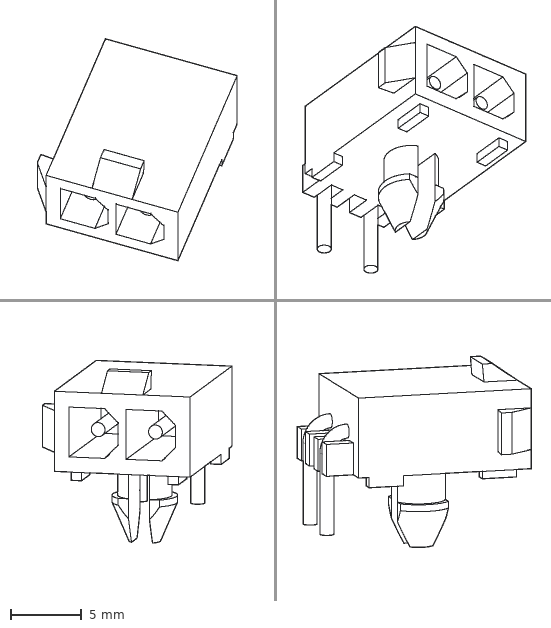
import cadquery as cq
import math


body_width = 9.85
overall_depth = 14.71
body_depth = 12.72
body_height = 5.75
mid_height = body_height / 2

way_pitch = 4.16
way_centres = (-way_pitch / 2, way_pitch / 2)
pocket_size = 3.57
pocket_chamfer = 0.99
pocket_depth = 9.71

lock_width = 3.0
lock_height = 1.3
lock_root_depth = 2.47
lock_crest_rear = 2.59
lock_crest_front = 1.82

guard_depth = overall_depth - body_depth
guard_height = 2.3
guard_span = 3.07
guard_gap = 1.01

pin_diameter = 1.0
pin_radius = pin_diameter / 2
pin_tip_depth = 1.41
pin_drop = 4.45
pin_bend_radius = guard_depth - pin_radius

foot_width = 0.76
foot_length = 2.53
foot_height = 0.74
foot_inset = 1.03
front_foot_start = 0.78
rear_foot_start = body_depth - front_foot_start - foot_length

peg_centre_y = 6.85
peg_length = 5.96
peg_stem_radius = 1.93
peg_stem_length = 2.68
peg_barb_radius = 2.32
peg_barb_end = 3.16
peg_tip_radius = 1.13
peg_slot = 1.52
peg_thickness = 2 * math.sqrt(peg_stem_radius**2 - (peg_slot / 2) ** 2)


def block(x_start, y_start, z_start, width, depth, height):
    """Box placed by its lowest corner."""
    return cq.Workplane("XY").box(width, depth, height, centered=False).translate((x_start, y_start, z_start))


def housing():
    """Plain rectangular housing, centred on X."""
    return block(-body_width / 2, 0, 0, body_width, body_depth, body_height)


def mating_pocket(way_x):
    """Square pocket with its two +X corners cut off."""
    return (
        cq.Workplane("XY")
        .box(pocket_size, pocket_depth, pocket_size)
        .edges(">X and |Y")
        .chamfer(pocket_chamfer)
        .translate((way_x, pocket_depth / 2, mid_height))
    )


def lock_ramp():
    """Ramp rising from the mating face, standing on Z = 0 and centred on X."""
    profile = [
        (0, 0),
        (lock_crest_front, lock_height),
        (lock_crest_rear, lock_height),
        (lock_root_depth, 0),
    ]
    return cq.Workplane("YZ").polyline(profile).close().extrude(lock_width / 2, both=True)


def pin_guards(way_x):
    """Two rear blocks with a gap for the pin between them."""
    block_width = (guard_span - guard_gap) / 2
    left = block(way_x - guard_span / 2, body_depth, 0, block_width, guard_depth, guard_height)
    right = block(way_x + guard_gap / 2, body_depth, 0, block_width, guard_depth, guard_height)
    return left.union(right)


def bent_pin(way_x):
    """Round pin running back through the housing, then bent down through a quarter turn."""
    path = (
        cq.Workplane("YZ", origin=(way_x, 0, 0))
        .moveTo(pin_tip_depth, mid_height)
        .lineTo(body_depth, mid_height)
        .tangentArcPoint((pin_bend_radius, -pin_bend_radius))
        .lineTo(body_depth + pin_bend_radius, -pin_drop)
    )
    start = cq.Workplane("XZ", origin=(way_x, pin_tip_depth, mid_height))
    return start.circle(pin_radius).sweep(path)


def standoff_feet(side):
    """Outer rear foot flush with the housing side and inner front foot, on side -1 or +1."""
    outer_x = side * (body_width - foot_width) / 2
    inner_x = outer_x - side * foot_inset
    rear = block(outer_x - foot_width / 2, rear_foot_start, -foot_height, foot_width, foot_length, foot_height)
    front = block(inner_x - foot_width / 2, front_foot_start, -foot_height, foot_width, foot_length, foot_height)
    return rear.union(front)


def mounting_peg():
    """Round stem and turned barb with front and rear flats, split by a slot along Y."""
    stem = cq.Workplane("XY").circle(peg_stem_radius).extrude(-peg_stem_length)
    barb_profile = [
        (0, -peg_stem_length),
        (peg_barb_radius, -peg_stem_length),
        (peg_barb_radius, -peg_barb_end),
        (peg_tip_radius, -peg_length),
        (0, -peg_length),
    ]
    barb = cq.Workplane("XZ").polyline(barb_profile).close().revolve(360, (0, 0), (0, 1))
    flats = cq.Workplane("XY").box(2 * peg_barb_radius, peg_thickness, 2 * peg_length)
    slot = cq.Workplane("XY").box(peg_slot, 2 * peg_barb_radius, 2 * peg_length)
    split_stem = stem.cut(slot)
    split_barb = barb.intersect(flats).cut(slot)
    return split_stem.union(split_barb).translate((0, peg_centre_y, 0))


result = housing()
for way_x in way_centres:
    result = result.cut(mating_pocket(way_x))

top_lock = lock_ramp().translate((0, 0, body_height))
side_lock = lock_ramp().rotate((0, 0, 0), (0, 1, 0), -90).translate((-body_width / 2, 0, mid_height))
result = result.union(top_lock).union(side_lock)

for side in (-1, 1):
    result = result.union(standoff_feet(side))

result = result.union(mounting_peg())

for way_x in way_centres:
    result = result.union(pin_guards(way_x)).union(bent_pin(way_x))